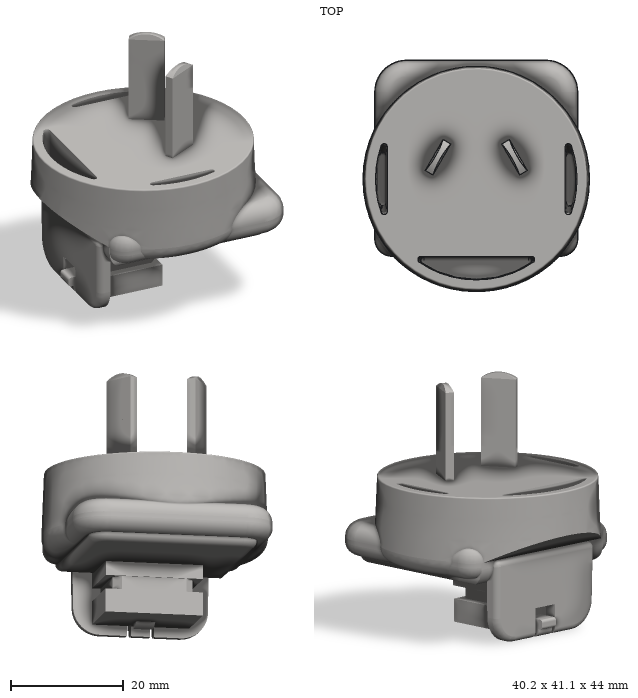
import cadquery as cq
import math


drum_top_radius = 19.65
drum_diameter = 40.2
drum_radius = drum_diameter / 2
drum_height = 11.65
drum_top_round = 0.25
housing_bottom = -3.1

pad_half_width = 18.0
pad_back = 21.1
pad_front = -13.7
pad_top = 2.95
pad_top_round = 2.9
pad_bottom_round = 2.3
pad_back_corner = 5.7
pad_front_corner = 3.1

slope_angle = math.radians(30.5)

pocket_arc_radius = 17.87
pocket_wall = 2.2
front_pocket_offset = 13.7
side_pocket_offset = 15.75
pocket_taper = 1.2
pocket_corner = 0.57
pocket_floor_round = 0.5

prong_width = 6.35
prong_thickness = 1.6
prong_x = 6.8
prong_y = 3.87
prong_angle = 30.0
sleeve_top = 20.15
blade_shoulder = 27.65
blade_top = 28.65
blade_bevel = 0.3

plate_half_width = 15.2
plate_back = 18.45
plate_bottom = -4.5
plate_back_corner = 3.1
plate_front_round = 3.3
plate_edge_round = housing_bottom - plate_bottom

flap_half_width = 12.35
flap_front = -14.6
flap_back = -12.15
flap_bottom = -15.35
flap_taper = 0.8
flap_corner = 4.95
flap_top_corner = 1.1
flap_round = 1.05
notch_half_width = 2.45
notch_top = -9.95

connector_half_width = 8.8
connector_back = -0.15
connector_step = 0.2
connector_top = -3.87
connector_bottom = -13.55
groove_top = -7.0
groove_bottom = -9.38
groove_depth = 1.55
groove_lead = 1.4
recess_depth = 0.57

latch_half_width = 1.7
latch_top = -12.1
button_front = -15.4
button_bottom = -13.85
button_round = 0.55
hook_back = -7.55
hook_front = -10.0
hook_bottom = -14.5
hook_bulge = 0.25


def box(x_range, y_range, z_range):
    """A box between the given limits."""
    size = [abs(limits[1] - limits[0]) for limits in (x_range, y_range, z_range)]
    low = [min(limits) for limits in (x_range, y_range, z_range)]
    return cq.Workplane("XY").box(*size, centered=False).translate(tuple(low))


def bar_along_x(outline, half_width):
    """A closed (Y, Z) outline extruded evenly to both sides of X = 0."""
    return cq.Workplane("YZ").polyline(outline).close().extrude(half_width, both=True)



def slope_z(y, lift=0.0):
    """Height of the undercut slope at a given Y, raised by `lift`."""
    return (pad_front - y) * math.tan(slope_angle) + lift


def make_drum():
    """Tapered drum with a rounded bottom edge, revolved about Z."""
    bottom_radius = drum_radius + housing_bottom
    arc_reach = -housing_bottom * math.sqrt(0.5)
    profile = (
        cq.Workplane("XZ")
        .moveTo(0, housing_bottom)
        .lineTo(-bottom_radius, housing_bottom)
        .threePointArc((-bottom_radius - arc_reach, -arc_reach), (-drum_radius, 0))
        .lineTo(-drum_top_radius, drum_height)
        .lineTo(0, drum_height)
        .close()
    )
    return profile.revolve(360, (0, 0), (0, 1)).faces(">Z").edges().fillet(drum_top_round)


def make_pad():
    """Rounded rectangular pad that sticks out behind the drum and at its front corners."""
    pad = box((-pad_half_width, pad_half_width), (pad_front, pad_back), (housing_bottom, pad_top))
    pad = pad.edges("|Z and >Y").fillet(pad_back_corner)
    pad = pad.edges("|Z and <Y").fillet(pad_front_corner)
    pad = pad.faces(">Z").edges().fillet(pad_top_round)
    return pad.faces("<Z").edges().fillet(pad_bottom_round)


def make_front_undercut():
    """Region in front of the pad and below the slope."""
    reach = 2 * pad_front
    outline = [
        (pad_front, 2 * housing_bottom),
        (pad_front, 0),
        (reach, slope_z(reach)),
        (reach, 2 * housing_bottom),
    ]
    return bar_along_x(outline, drum_radius)


def make_pocket(offset, floor_z):
    """Tapered circle-segment pocket on the -Y side, its flat wall at `offset` from the axis."""
    half_chord = math.sqrt(pocket_arc_radius**2 - offset**2)
    pocket = (
        cq.Workplane("XY", origin=(0, 0, drum_height))
        .moveTo(-half_chord, -offset)
        .threePointArc((0, -pocket_arc_radius), (half_chord, -offset))
        .close()
        .extrude(floor_z - drum_height, taper=pocket_taper)
    )
    return pocket.edges("(<X or >X) and (not #Z)").fillet(pocket_corner)


def make_front_pocket():
    """Front pocket with a floor parallel to the undercut slope."""
    lift = pocket_wall / math.cos(slope_angle)
    reach = 2 * pad_front
    outline = [
        (0, slope_z(0, lift)),
        (reach, slope_z(reach, lift)),
        (reach, 2 * drum_height),
        (0, 2 * drum_height),
    ]
    pocket = make_pocket(front_pocket_offset, 0).intersect(bar_along_x(outline, drum_radius))
    return pocket.faces("<Z").edges().fillet(pocket_floor_round)


def make_side_pocket(turn):
    """Flat-floored pocket, turned about Z to the side it belongs to."""
    pocket = make_pocket(side_pocket_offset, 0).faces("<Z").edges().fillet(pocket_floor_round)
    return pocket.rotate((0, 0, 0), (0, 0, 1), turn)


def make_housing(plate_recess):
    housing = make_drum().union(make_pad()).cut(make_front_undercut())
    housing = housing.cut(make_front_pocket())
    for turn in (-90, 90):
        housing = housing.cut(make_side_pocket(turn))
    return housing.cut(plate_recess)



def place_prong(prong, side):
    """Move a prong part from the axis to its side (-1 left, 1 right) and turn it."""
    return prong.rotate((0, 0, 0), (0, 0, 1), side * prong_angle).translate((side * prong_x, prong_y, 0))


def make_sleeve(side):
    """Lower half of a prong, standing on the drum top."""
    half_thickness = prong_thickness / 2
    half_width = prong_width / 2
    sleeve = box((-half_thickness, half_thickness), (-half_width, half_width), (drum_height, sleeve_top))
    return place_prong(sleeve, side)


def make_blade(side):
    """Upper half of a prong, with an arched tip and bevelled wide faces."""
    half_thickness = prong_thickness / 2
    half_width = prong_width / 2
    arched = (
        cq.Workplane("YZ")
        .moveTo(-half_width, sleeve_top)
        .lineTo(-half_width, blade_shoulder)
        .threePointArc((0, blade_top), (half_width, blade_shoulder))
        .lineTo(half_width, sleeve_top)
        .close()
        .extrude(half_thickness, both=True)
    )
    bevelled = (
        cq.Workplane("XZ")
        .moveTo(-half_thickness, sleeve_top)
        .lineTo(-half_thickness, blade_shoulder)
        .lineTo(blade_bevel - half_thickness, blade_top)
        .lineTo(half_thickness - blade_bevel, blade_top)
        .lineTo(half_thickness, blade_shoulder)
        .lineTo(half_thickness, sleeve_top)
        .close()
        .extrude(half_width, both=True)
    )
    return place_prong(arched.intersect(bevelled), side)



def make_plate_blank():
    """Plate with round back corners and a straight front, which is also the recess that holds it."""
    sides = (-plate_half_width, plate_half_width)
    blank = box(sides, (pad_front, plate_back), (plate_bottom, 0))
    return blank.edges("|Z and >Y").fillet(plate_back_corner)


def make_plate(blank, flap, connector):
    """Plate rounded along its front and lower edges, with recesses for the flap and connector."""
    plate = blank.faces("<Z").edges("not <Y").fillet(plate_edge_round)
    rounded_front = (
        box((-plate_half_width, plate_half_width), (pad_front, plate_back), (plate_bottom, 0))
        .edges("<Y and <Z")
        .fillet(plate_front_round)
    )
    return plate.intersect(rounded_front).cut(flap).cut(connector)



def make_flap_blank():
    """Tapered flap with round corners and a rounded front edge, before it is notched."""
    flap = (
        cq.Workplane("XY")
        .rect(2 * flap_half_width, -2 * flap_front)
        .extrude(flap_bottom, taper=flap_taper)
        .cut(box((-flap_half_width, flap_half_width), (flap_back, -flap_front), (flap_bottom, 0)))
    )
    for side_edge in ("<X", ">X"):
        flap = flap.faces("<Z").edges(side_edge).fillet(flap_corner)
        flap = flap.faces(">Z").edges(side_edge).fillet(flap_top_corner)
    return flap.faces("<Y").edges().fillet(flap_round)


def make_flap(blank):
    """Flap with the open notch that the latch passes through."""
    notch = box((-notch_half_width, notch_half_width), (flap_back, flap_front), (flap_bottom, notch_top))
    return blank.cut(notch)


def make_side_groove():
    """Groove along the -X side of the connector, deepening toward its back end."""
    floor_x = groove_depth - connector_half_width
    back = connector_back - connector_step
    outline = [
        (-connector_half_width, flap_back),
        (floor_x, flap_back),
        (floor_x, back - groove_lead),
        (floor_x + groove_lead, back),
        (-connector_half_width, back),
    ]
    return (
        cq.Workplane("XY", origin=(0, 0, groove_bottom))
        .polyline(outline)
        .close()
        .extrude(groove_top - groove_bottom)
    )


def make_connector(latch):
    """Block behind the flap, with side grooves, a front recess and a slot for the latch."""
    sides = (-connector_half_width, connector_half_width)
    connector = box(sides, (flap_back, connector_back), (groove_top, connector_top))
    lower_back = connector_back - connector_step
    connector = connector.union(box(sides, (flap_back, lower_back), (connector_bottom, groove_top)))
    groove = make_side_groove()
    connector = connector.cut(groove).cut(groove.mirror("YZ"))
    recess_half_width = notch_half_width - recess_depth
    recess = (
        cq.Workplane("XY", origin=(0, 0, connector_bottom))
        .polyline([
            (-notch_half_width, flap_back),
            (-recess_half_width, flap_back + recess_depth),
            (recess_half_width, flap_back + recess_depth),
            (notch_half_width, flap_back),
        ])
        .close()
        .extrude(notch_top - connector_bottom)
    )
    return connector.cut(recess).cut(latch)


def make_latch(flap_blank):
    """Latch: a button through the notch, a lip flush with the flap, and an arm ending in a hook."""
    sides = (-latch_half_width, latch_half_width)
    button = box(sides, (button_front, flap_back), (button_bottom, latch_top))
    button = button.edges("|X and <Y").fillet(button_round)
    lip = flap_blank.intersect(box(sides, (flap_front, flap_back), (flap_bottom, latch_top)))
    arm = box(sides, (flap_back, hook_back), (connector_bottom, latch_top))
    ramp_middle = (
        (hook_back + hook_front) / 2,
        (connector_bottom + hook_bottom) / 2 - hook_bulge,
    )
    hook = (
        cq.Workplane("YZ")
        .moveTo(hook_back, connector_bottom)
        .threePointArc(ramp_middle, (hook_front, hook_bottom))
        .lineTo(hook_front, connector_bottom)
        .close()
        .extrude(latch_half_width, both=True)
    )
    return button.union(lip).union(arm).union(hook)



flap_blank = make_flap_blank()
flap = make_flap(flap_blank)
latch = make_latch(flap_blank)
connector = make_connector(latch)
plate_blank = make_plate_blank()
plate = make_plate(plate_blank, flap_blank, connector)
housing = make_housing(plate_blank)
prong_parts = []
for side in (-1, 1):
    prong_parts.append(make_sleeve(side).val())
    prong_parts.append(make_blade(side).val())

result = cq.Compound.makeCompound([
    housing.val(),
    plate.val(),
    flap.val(),
    connector.val(),
    latch.val(),
    *prong_parts,
])